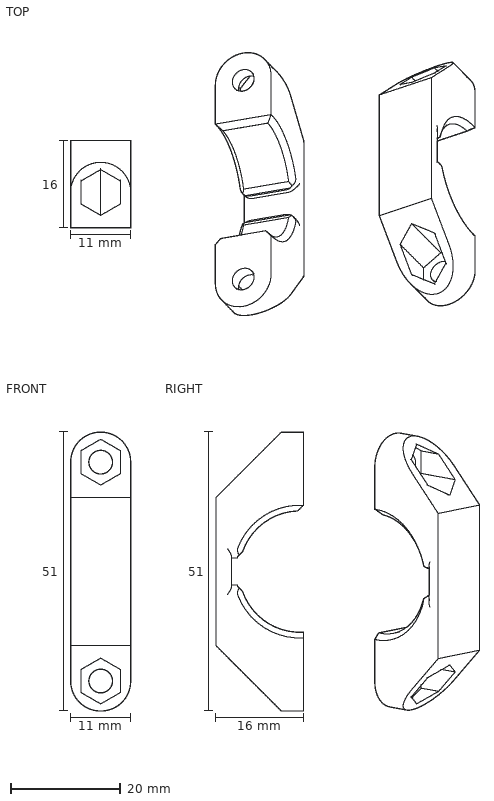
import cadquery as cq
import math

length = 51.0
width = 11.0
depth = 16.0
end_thickness = 4.05
flat_half = length / 2 - (depth - end_thickness)

bore_radius = 11.05
bore_inset = 0.65
rim_chamfer = 1.05

slot_floor = 13.15
slot_half = 2.45
floor_flare = 0.95
wall_flare = 2.1
mouth_start = 10.9
mouth_end = 12.05
mouth_half = 3.8
mouth_end_half = 2.7

hole_diameter = 4.3
nut_flats = 7.25
nut_floor = 3.05
bolt_offset = length / 2 - width / 2


def make_body():
    """Sloped side profile, rounded at both ends."""
    profile = (
        cq.Workplane("YZ")
        .polyline([
            (0, -length / 2),
            (-end_thickness, -length / 2),
            (-depth, -flat_half),
            (-depth, flat_half),
            (-end_thickness, length / 2),
            (0, length / 2),
        ])
        .close()
        .extrude(width / 2, both=True)
    )
    rounded = cq.Workplane("XZ").slot2D(length, width, 90).extrude(depth)
    return profile.intersect(rounded)


def make_bore():
    """Bore with a conical chamfer at each side face."""
    half_width = width / 2
    rim_radius = bore_radius + rim_chamfer
    return (
        cq.Workplane("XY")
        .polyline([
            (-half_width, 0),
            (-half_width, rim_radius),
            (-half_width + rim_chamfer, bore_radius),
            (half_width - rim_chamfer, bore_radius),
            (half_width, rim_radius),
            (half_width, 0),
        ])
        .close()
        .revolve(360, (0, 0), (1, 0))
        .translate((0, -bore_inset, 0))
    )


def make_bore_lip():
    """Bevel between the upper end of the bore and the mating face."""
    return (
        cq.Workplane("YZ")
        .polyline([
            (0, bore_radius - rim_chamfer),
            (0, bore_radius + rim_chamfer),
            (-rim_chamfer, bore_radius),
            (-rim_chamfer, bore_radius - rim_chamfer),
        ])
        .close()
        .extrude(width / 2, both=True)
    )


def make_flared_outline(plane, half_opening, flare_radius):
    """Closed outline of an opening along X whose two walls round into the side faces."""
    half_width = width / 2
    edge = half_opening + flare_radius
    straight_end = half_width - flare_radius
    arc_x = straight_end + flare_radius * math.sin(math.pi / 4)
    arc_height = edge - flare_radius * math.cos(math.pi / 4)
    return (
        cq.Workplane(plane)
        .moveTo(-half_width, -edge)
        .threePointArc((-arc_x, -arc_height), (-straight_end, -half_opening))
        .lineTo(straight_end, -half_opening)
        .threePointArc((arc_x, -arc_height), (half_width, -edge))
        .lineTo(half_width, edge)
        .threePointArc((arc_x, arc_height), (straight_end, half_opening))
        .lineTo(-straight_end, half_opening)
        .threePointArc((-arc_x, arc_height), (-half_width, edge))
        .close()
    )


def make_slot():
    """Slot whose floor and end walls round outwards into both side faces."""
    half_width = width / 2
    floor_shape = make_flared_outline("XY", slot_floor, floor_flare).extrude(length / 2, both=True)
    wall_shape = make_flared_outline("XZ", slot_half, wall_flare).extrude(depth)
    mouth = (
        cq.Workplane("YZ")
        .polyline([
            (-mouth_start, -mouth_half),
            (-mouth_end, -mouth_end_half),
            (-mouth_end, mouth_end_half),
            (-mouth_start, mouth_half),
        ])
        .close()
        .extrude(half_width, both=True)
    )
    return floor_shape.intersect(wall_shape).union(mouth)


def make_bolt_cut(z):
    """Through hole with a hexagonal nut pocket, two flats facing X."""
    hole = cq.Workplane("XZ").center(0, z).circle(hole_diameter / 2).extrude(depth)
    pocket = (
        cq.Workplane("XZ", origin=(0, -nut_floor, z))
        .transformed(rotate=(0, 0, 90))
        .polygon(6, nut_flats / math.cos(math.pi / 6))
        .extrude(depth)
    )
    return hole.union(pocket)


result = make_body().cut(make_bore()).cut(make_bore_lip()).cut(make_slot())
for bolt_z in (-bolt_offset, bolt_offset):
    result = result.cut(make_bolt_cut(bolt_z))